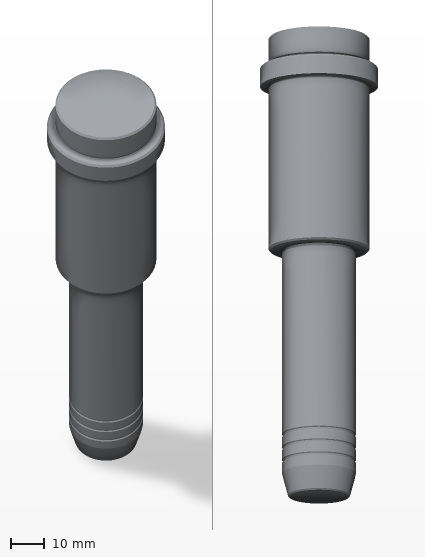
import cadquery as cq

total_length = 140.0
flange_diameter = 35.0
flange_height = 6.0
flange_bottom = 125.0
flange_top = flange_bottom + flange_height
flange_chamfer = 0.5

body_diameter = 30.0
body_length = 50.0
body_bottom = flange_bottom - body_length
body_chamfer = 0.5

shank_diameter = 22.0
tip_length = 7.1
tip_diameter = 18.5
tip_bulge = 0.07
tip_chamfer = 0.4

flange_relief_width = 0.7
head_relief_width = 1.1
flange_relief_depth = 0.4
flange_relief_taper = 0.3
shank_relief_width = 1.0
shank_relief_depth = 0.7

ring_count = 3
first_ring_center = 10.6
ring_pitch = 3.9
ring_width = 1.1
ring_depth = 0.3
ring_taper = 0.3


def cylinder(diameter, bottom, top):
    """Solid cylinder on the Z axis between two heights."""
    return cq.Workplane("XY", origin=(0, 0, bottom)).circle(diameter / 2).extrude(top - bottom)


def groove(diameter, depth, bottom, width, lower_taper=0.0, upper_taper=0.0):
    """Ring cut into a cylinder; each taper is the height of a sloping wall, 0 for a square one."""
    outer_radius = diameter / 2
    floor_radius = outer_radius - depth
    clear_radius = outer_radius + depth
    top = bottom + width
    profile = cq.Workplane("XZ").moveTo(clear_radius, bottom).lineTo(outer_radius, bottom)
    profile = profile.lineTo(floor_radius, bottom + lower_taper)
    profile = profile.lineTo(floor_radius, top - upper_taper)
    profile = profile.lineTo(outer_radius, top).lineTo(clear_radius, top).close()
    return profile.revolve(360, (0, 0, 0), (0, 1, 0))


def tapered_tip():
    """Tip revolved from a slightly convex taper, chamfered at its end."""
    shank_radius = shank_diameter / 2
    tip_radius = tip_diameter / 2
    bulge_radius = (shank_radius + tip_radius) / 2 + tip_bulge
    bulge_height = (tip_length + tip_chamfer) / 2
    return (
        cq.Workplane("XZ")
        .lineTo(tip_radius - tip_chamfer, 0)
        .lineTo(tip_radius, tip_chamfer)
        .threePointArc((bulge_radius, bulge_height), (shank_radius, tip_length))
        .lineTo(0, tip_length)
        .close()
        .revolve(360, (0, 0, 0), (0, 1, 0))
    )


shank = cylinder(shank_diameter, tip_length, body_bottom)
for index in range(ring_count):
    ring_bottom = first_ring_center + index * ring_pitch - ring_width / 2
    ring = groove(shank_diameter, ring_depth, ring_bottom, ring_width, ring_taper, ring_taper)
    shank = shank.cut(ring)
shank_relief_bottom = body_bottom - shank_relief_width
shank = shank.cut(groove(shank_diameter, shank_relief_depth, shank_relief_bottom, shank_relief_width))

body = cylinder(body_diameter, body_bottom, flange_bottom).faces("<Z").chamfer(body_chamfer)
body_relief_bottom = flange_bottom - flange_relief_width
body = body.cut(
    groove(
        body_diameter, flange_relief_depth, body_relief_bottom, flange_relief_width,
        flange_relief_taper, flange_relief_taper,
    )
)

flange = cylinder(flange_diameter, flange_bottom, flange_top).faces(">Z").chamfer(flange_chamfer)
head = cylinder(body_diameter, flange_top, total_length).faces(">Z").chamfer(body_chamfer)
head = head.cut(
    groove(
        body_diameter, flange_relief_depth, flange_top, head_relief_width,
        flange_relief_taper, flange_relief_taper,
    )
)

result = tapered_tip().union(shank).union(body).union(flange).union(head)